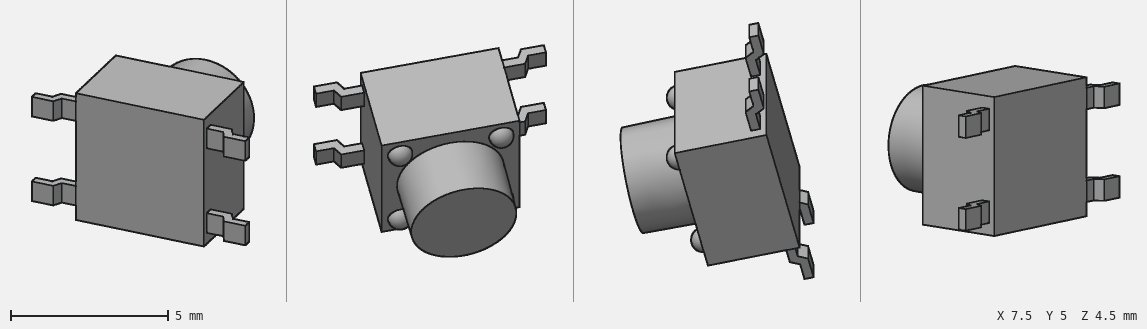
import cadquery as cq


housing_width = 4.5
housing_depth = 3.0

button_base_radius = 1.75
button_tip_radius = 1.72
button_height = 1.905

stud_radius = 0.4
stud_offset = 1.65

overall_length = 7.5
lead_width = 0.7
lead_offset = 1.5
lead_thickness = 0.3
foot_standoff = 0.1
foot_length = 0.75
crank_run = 0.165

housing_half = housing_width / 2
lead_end = overall_length / 2


def make_housing():
    return cq.Workplane("XY").box(
        housing_width, housing_depth, housing_width, centered=(True, False, True)
    )


def make_button():
    front = housing_depth
    tip = front + button_height
    profile = [(front, 0), (front, button_base_radius), (tip, button_tip_radius), (tip, 0)]
    return cq.Workplane("YZ").polyline(profile).close().revolve(360, (0, 0), (1, 0))


def make_stud(x, z):
    """Half ball with its flat side on the housing front."""
    stud = (
        cq.Workplane("YZ")
        .lineTo(0, stud_radius)
        .radiusArc((stud_radius, 0), stud_radius)
        .close()
        .revolve(360, (0, 0), (1, 0))
    )
    return stud.translate((x, housing_depth, z))


def make_lead(side, z):
    """Cranked strip on the +X (side = 1) or -X (side = -1) face of the housing."""
    sole = -foot_standoff
    step = sole + lead_thickness
    top = step + lead_thickness
    sole_bend = lead_end - foot_length
    upper_bend = sole_bend - crank_run
    outline = [
        (lead_end, sole),
        (sole_bend, sole),
        (upper_bend, step),
        (housing_half, step),
        (housing_half, top),
        (sole_bend, top),
        (sole_bend + crank_run, step),
        (lead_end, step),
    ]
    placed = [(side * x, y) for x, y in outline]
    strip = cq.Workplane("XY").polyline(placed).close().extrude(lead_width / 2, both=True)
    return strip.translate((0, 0, z))


housing = make_housing()
button = make_button()
studs = []
leads = []
for x_side in (-1, 1):
    for z_side in (-1, 1):
        studs.append(make_stud(x_side * stud_offset, z_side * stud_offset))
        leads.append(make_lead(x_side, z_side * lead_offset))

result = cq.Compound.makeCompound(
    [housing.val(), button.val(), *[body.val() for body in studs + leads]]
)